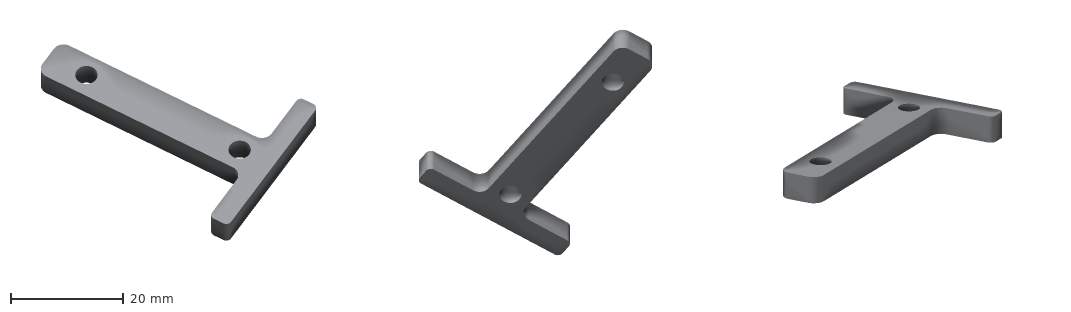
import cadquery as cq

length = 47.0
head_width = 31.0
thickness = 5.0

stem_width = 8.0
head_depth = 4.0
stem_end_radius = 2.0
inner_corner_radius = 2.0
head_corner_radius = 1.0

hole_diameter = 4.0
first_hole_x = 8.0
hole_spacing = 32.0

head_start = length - head_depth


def plate(x_start, x_end, width):
    """Plate between two X positions, centred on the X axis."""
    return (
        cq.Workplane("XY")
        .center((x_start + x_end) / 2, 0)
        .rect(x_end - x_start, width)
        .extrude(thickness)
    )


stem = plate(0, length, stem_width).edges("|Z and <X").fillet(stem_end_radius)
head = plate(head_start, length, head_width).edges("|Z").fillet(head_corner_radius)
body = stem.union(head).clean()

margin = 0.45
inner_corners = cq.selectors.BoxSelector(
    (head_start - margin, -stem_width, -margin),
    (head_start + margin, stem_width, thickness + margin),
)
body = body.edges("|Z").edges(inner_corners).fillet(inner_corner_radius)

hole_positions = [(first_hole_x, 0), (first_hole_x + hole_spacing, 0)]
holes = (
    cq.Workplane("XY")
    .pushPoints(hole_positions)
    .circle(hole_diameter / 2)
    .extrude(thickness)
)

result = body.cut(holes)